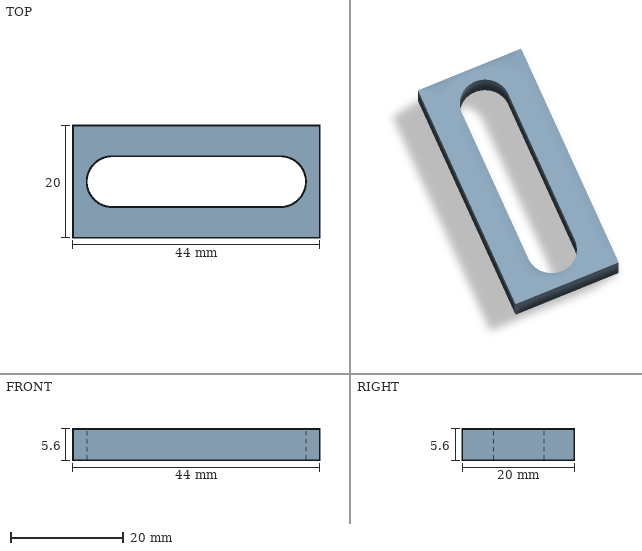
import cadquery as cq

plate_length = 44.0
plate_width = 20.0
plate_thickness = 5.6

slot_length = 39.0
slot_width = 9.0


def make_plate():
    """Rectangular plate centred on the origin."""
    return cq.Workplane("XY").box(plate_length, plate_width, plate_thickness)


def cut_slot(plate):
    """Cut the slot through the plate, lengthwise along X."""
    return plate.faces(">Z").workplane().slot2D(slot_length, slot_width).cutThruAll()


result = cut_slot(make_plate())